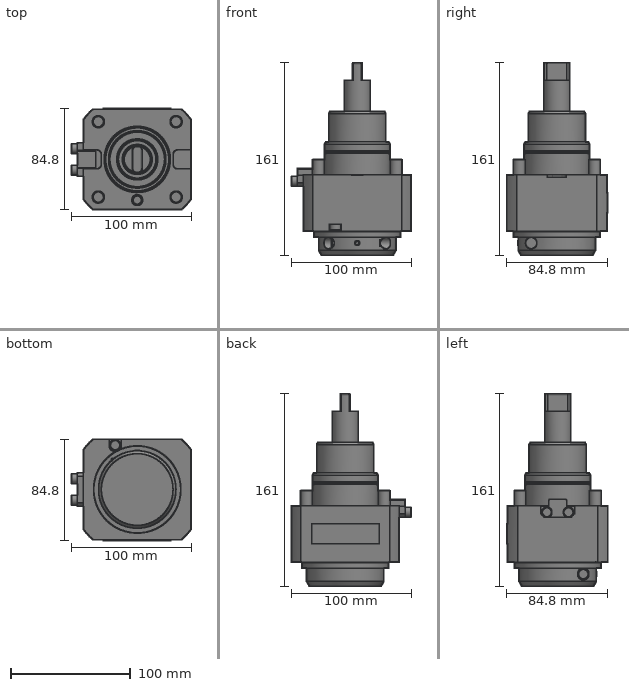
import cadquery as cq
import math


bevel_angle = math.radians(30)

housing_x = 90.0
housing_y = 84.0
housing_depth = 47.0
corner_radius = 56.0
plate_x = 56.4
plate_z_top = -15.0
plate_z_bottom = -31.5
plate_thickness = 0.75

pilot_dia = 55.0
pilot_top = 27.5
sleeve_dia = 48.0
sleeve_top = 53.0
lead_in_height = 2.0
lead_in_radial = lead_in_height * math.tan(bevel_angle)
seal_groove_dia = 52.5
seal_groove_bottom = 18.0
seal_groove_top = 20.0
seal_dia = 55.38

mouth_dia = 34.3
mouth_throat_dia = 33.0
seal_depth = 0.75
seal_gap_depth = 0.4
seal_lip_depth = 0.3
seal_face_z = sleeve_top - seal_depth
seal_outer_dia = 31.4
seal_gap_z = seal_face_z - seal_gap_depth
seal_inner_dia = 25.0
seal_lip_dia = 24.4
floor_z = seal_face_z - seal_lip_depth

shaft_dia = 21.9
shaft_shoulder = 79.0
shaft_top = 93.75
tang_width = 8.0
tang_flat = 16.5
tang_end_width = 6.0
tang_chamfer_height = 1.0
tang_chamfer_inset = 0.25

register_dia = 73.0
register_bottom = -47.6
flange_dia = 72.6
flange_bottom = -52.0
nut_dia = 64.8
nut_bottom = -67.25
nut_chamfer_height = 4.25
nut_chamfer_radial = nut_chamfer_height * math.tan(bevel_angle)
nut_hole_z = -57.0
cross_hole_dia = 9.5
cross_hole_y = -21.4
cross_pin_left = -21.6
cross_pin_right = 19.0
cross_pin_chamfer = 0.75
stop_pin_dia = 4.0
stop_pin_chamfer = 0.4
stop_pin_stand_out = 0.4
stop_pin_reach = nut_dia / 2 + stop_pin_stand_out
stop_pin_root = 30.0

bolt_dia = 10.0
bolt_height = 13.0
bolt_chamfer = 0.6
bolt_x = 32.5
bolt_y = 31.5

plug_dia = 9.0
plug_core_dia = 7.0
plug_groove_depth = 0.3
plug_y = -34.0

screw_x = -18.45
screw_y = -37.0
screw_head_dia = 9.0
screw_head_bottom = -46.2
screw_head_chamfer = 0.5
screw_notch_width = 10.2
screw_notch_top = -41.2

slot_width = 16.0
slot_inner_x = 30.0
slot_corner = 4.0
slot_depth = 2.0
key_outer_x = -50.0
key_inner_x = -34.8
key_width = 15.2
key_top = 5.3
key_chamfer = 0.7
yoke_width = 28.2
yoke_top = -0.5
yoke_bottom = -9.7
yoke_chamfer = 3.2
key_screw_dia = 8.5
key_screw_y = 9.0
key_screw_z = -5.4
key_screw_end_x = -55.0
key_screw_chamfer = 0.4


def cylinder(dia, z_bottom, z_top):
    """Upright cylinder about the main axis."""
    return cq.Workplane("XY").workplane(offset=z_bottom).circle(dia / 2).extrude(z_top - z_bottom)


def box(x_min, x_max, y_min, y_max, z_min, z_max):
    """Axis-aligned block between the given limits."""
    return cq.Workplane("XY").box(
        x_max - x_min, y_max - y_min, z_max - z_min, centered=False
    ).translate((x_min, y_min, z_min))


def make_housing():
    """Rectangular block with turned corners and a thin plate on the +Y face."""
    blank = box(-housing_x / 2, housing_x / 2, -housing_y / 2, housing_y / 2, -housing_depth, 0)
    housing = blank.intersect(cylinder(2 * corner_radius, -housing_depth, 0))
    plate = box(
        -plate_x / 2, plate_x / 2,
        housing_y / 2 - plate_thickness, housing_y / 2 + plate_thickness,
        plate_z_bottom, plate_z_top,
    )
    return housing.union(plate)


def cut_key_slots(body):
    """Cut one shallow key slot into the top face at each X side."""
    for side in (-1, 1):
        slot = box(slot_inner_x, housing_x / 2, -slot_width / 2, slot_width / 2, -slot_depth, 0)
        slot = slot.edges("|Z and <X").fillet(slot_corner)
        if side < 0:
            slot = slot.mirror("YZ")
        body = body.cut(slot)
    return body


def cut_plug_groove(body):
    """Cut the shallow ring that surrounds the plug in the top face."""
    groove = (
        cq.Workplane("XY")
        .center(0, plug_y)
        .circle(plug_dia / 2)
        .circle(plug_core_dia / 2)
        .extrude(-plug_groove_depth)
    )
    return body.cut(groove)


def make_sleeve():
    """Turned pilot and sleeve, with a seal ring and a stepped mouth."""
    pilot_r = pilot_dia / 2
    sleeve_r = sleeve_dia / 2
    groove_r = seal_groove_dia / 2
    return (
        cq.Workplane("XZ")
        .moveTo(0, 0)
        .lineTo(pilot_r, 0)
        .lineTo(pilot_r, seal_groove_bottom)
        .lineTo(groove_r, seal_groove_bottom)
        .lineTo(seal_dia / 2, (seal_groove_bottom + seal_groove_top) / 2)
        .lineTo(groove_r, seal_groove_top)
        .lineTo(pilot_r, seal_groove_top)
        .lineTo(pilot_r, pilot_top - lead_in_height)
        .lineTo(pilot_r - lead_in_radial, pilot_top)
        .lineTo(sleeve_r, pilot_top)
        .lineTo(sleeve_r, sleeve_top - lead_in_height)
        .lineTo(sleeve_r - lead_in_radial, sleeve_top)
        .lineTo(mouth_dia / 2, sleeve_top)
        .lineTo(mouth_throat_dia / 2, seal_face_z)
        .lineTo(mouth_throat_dia / 2, seal_gap_z)
        .lineTo(seal_outer_dia / 2, seal_gap_z)
        .lineTo(seal_outer_dia / 2, seal_face_z)
        .lineTo(seal_inner_dia / 2, seal_face_z)
        .lineTo(seal_lip_dia / 2, floor_z)
        .lineTo(0, floor_z)
        .close()
        .revolve(360, (0, 0, 0), (0, 1, 0))
    )


def make_shaft():
    """Round shaft with a flat tang whose upright corners are bevelled."""
    shaft_r = shaft_dia / 2
    shaft = cylinder(shaft_dia, floor_z, shaft_shoulder)
    quarter = [(tang_width / 2, tang_flat / 2), (tang_end_width / 2, shaft_r)]
    right_side = quarter[::-1] + [(x, -y) for x, y in quarter]
    left_side = [(-x, -y) for x, y in right_side]
    tang = (
        cq.Workplane("XY")
        .workplane(offset=shaft_shoulder)
        .polyline(right_side + left_side)
        .close()
        .extrude(shaft_top - shaft_shoulder)
        .intersect(cylinder(shaft_dia, shaft_shoulder, shaft_top))
        .faces(">Z")
        .chamfer(tang_chamfer_inset, tang_chamfer_height)
    )
    return shaft.union(tang)


def make_nut():
    """Turned flange and nut with a bevelled lower rim."""
    nut_r = nut_dia / 2
    return (
        cq.Workplane("XZ")
        .moveTo(0, -housing_depth)
        .lineTo(register_dia / 2, -housing_depth)
        .lineTo(register_dia / 2, register_bottom)
        .lineTo(flange_dia / 2, register_bottom)
        .lineTo(flange_dia / 2, flange_bottom)
        .lineTo(nut_r, flange_bottom)
        .lineTo(nut_r, nut_bottom + nut_chamfer_height)
        .lineTo(nut_r - nut_chamfer_radial, nut_bottom)
        .lineTo(0, nut_bottom)
        .close()
        .revolve(360, (0, 0, 0), (0, 1, 0))
    )


def fit_cross_pin(body):
    """Bore the nut along X and leave a chamfered pin in the bore."""
    bore = (
        cq.Workplane("YZ")
        .workplane(offset=-nut_dia / 2)
        .center(cross_hole_y, nut_hole_z)
        .circle(cross_hole_dia / 2)
        .extrude(nut_dia)
    )
    pin = (
        cq.Workplane("YZ")
        .workplane(offset=cross_pin_left)
        .center(cross_hole_y, nut_hole_z)
        .circle(cross_hole_dia / 2)
        .extrude(cross_pin_right - cross_pin_left)
        .faces("<X")
        .chamfer(cross_pin_chamfer)
    )
    return body.cut(bore).union(pin)


def make_stop_pin():
    """Small pin that stands out of the nut on the -Y side."""
    return (
        cq.Workplane("XZ")
        .workplane(offset=stop_pin_root)
        .center(0, nut_hole_z)
        .circle(stop_pin_dia / 2)
        .extrude(stop_pin_reach - stop_pin_root)
        .faces("<Y")
        .chamfer(stop_pin_chamfer)
    )


def make_bolts():
    """Four bolt ends that stand on the top face."""
    points = [(x, y) for x in (-bolt_x, bolt_x) for y in (-bolt_y, bolt_y)]
    return (
        cq.Workplane("XY")
        .pushPoints(points)
        .circle(bolt_dia / 2)
        .extrude(bolt_height)
        .faces(">Z")
        .chamfer(bolt_chamfer)
    )


def fit_cover_screw(body):
    """Cut a round-ended notch into the front face, leaving the screw head in it."""
    half = screw_notch_width / 2
    notch = box(screw_x - half, screw_x + half, -housing_y / 2, screw_y, -housing_depth, screw_notch_top)
    notch_end = cylinder(screw_notch_width, -housing_depth, screw_notch_top)
    notch = notch.union(notch_end.translate((screw_x, screw_y, 0)))
    head = cylinder(screw_head_dia, screw_head_bottom, screw_notch_top)
    head = head.faces("<Z").chamfer(screw_head_chamfer).translate((screw_x, screw_y, 0))
    return body.cut(notch.cut(head))


def make_key():
    """Driving key in the -X slot, with its yoke and two screws."""
    stem = box(key_outer_x, key_inner_x, -key_width / 2, key_width / 2, yoke_top, key_top)
    stem = stem.edges("|X and >Z").chamfer(key_chamfer)
    root = box(-housing_x / 2, key_inner_x, -key_width / 2, key_width / 2, -slot_depth, yoke_top)
    yoke = box(key_outer_x, -housing_x / 2, -yoke_width / 2, yoke_width / 2, yoke_bottom, yoke_top)
    yoke = yoke.edges("|X and <Z").chamfer(yoke_chamfer)
    screws = (
        cq.Workplane("YZ")
        .workplane(offset=key_screw_end_x)
        .pushPoints([(-key_screw_y, key_screw_z), (key_screw_y, key_screw_z)])
        .circle(key_screw_dia / 2)
        .extrude(key_outer_x - key_screw_end_x)
        .faces("<X")
        .chamfer(key_screw_chamfer)
    )
    return stem.union(root).union(yoke).union(screws)


body = cut_plug_groove(cut_key_slots(make_housing()))
nut = fit_cross_pin(make_nut()).union(make_stop_pin())
body = body.union(make_sleeve()).union(make_shaft()).union(nut)
body = body.union(make_bolts()).union(make_key())
result = fit_cover_screw(body)